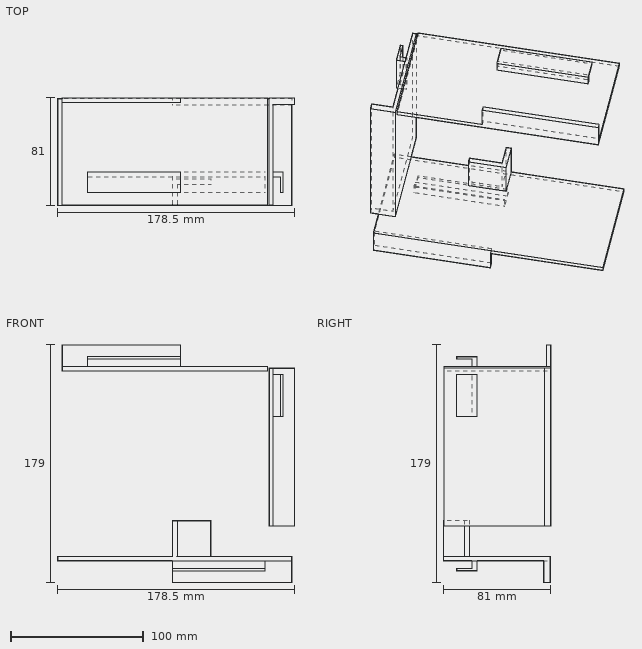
import cadquery as cq

height = 179.0
depth = 81.0
panel_depth = 80.5
panel_back_shift = depth - panel_depth
thickness = 3.4
flange_height = 16.3
top_flange_thickness = 3.4
thick_flange_thickness = 5.0

hook_height = 7.5
hook_web = 4.0
hook_lip = 2.0
hook_front = 10.0
hook_depth = 15.4
hook_back = hook_front + hook_depth

base_length = 176.3
base_bottom = flange_height
base_top = base_bottom + thickness
base_flange_start = 86.5
base_hook_length = 69.6

post_height = 27.0
post_length = 29.0
post_depth = 19.9
post_wall = 4.0

top_start = 3.4
top_length = 154.7
top_surface = height - flange_height
top_flange_length = 89.1
top_hook_length = 70.2
top_flange_end = top_start + top_flange_length

side_start = 159.3
side_end = 178.5
side_thickness = 2.9
side_bottom = 42.6
side_top = 161.5
side_outer = side_start + side_thickness
side_hook_bottom = 125.0
side_hook_top = 156.6


def block(x_range, y_range, z_range):
    """Box spanning the given (low, high) ranges."""
    (x0, x1), (y0, y1), (z0, z1) = x_range, y_range, z_range
    return cq.Workplane("XY").box(x1 - x0, y1 - y0, z1 - z0, centered=False).translate((x0, y0, z0))


def hook(plane, length):
    """L-section hook: local x runs along Y, local y points away from the panel."""
    outline = [
        (hook_back, 0),
        (hook_back, hook_height),
        (hook_front, hook_height),
        (hook_front, hook_height - hook_lip),
        (hook_back - hook_web, hook_height - hook_lip),
        (hook_back - hook_web, 0),
    ]
    return cq.Workplane(plane).polyline(outline).close().extrude(length)


def corner_post():
    """Upright angle: a front-to-back wall and a rear wall running along X."""
    x0 = base_flange_start
    z_range = (base_top, base_top + post_height)
    side_wall = block((x0, x0 + post_wall), (0, post_depth), z_range)
    rear_wall = block((x0, x0 + post_length), (post_depth - post_wall, post_depth), z_range)
    return side_wall.union(rear_wall)


def make_base_panel():
    panel = block((0, base_length), (0, panel_depth), (base_bottom, base_top))
    flange = block(
        (base_flange_start, base_length),
        (panel_depth - thick_flange_thickness, panel_depth),
        (0, base_bottom),
    )
    below = cq.Plane(
        origin=(base_flange_start + base_hook_length, 0, base_bottom), xDir=(0, 1, 0), normal=(-1, 0, 0)
    )
    return panel.union(flange).union(hook(below, base_hook_length)).union(corner_post())


def make_top_panel():
    panel = block(
        (top_start, top_start + top_length),
        (panel_back_shift, depth),
        (top_surface - thickness, top_surface),
    )
    flange = block((top_start, top_flange_end), (depth - top_flange_thickness, depth), (top_surface, height))
    above = cq.Plane(
        origin=(top_flange_end - top_hook_length, 0, top_surface), xDir=(0, 1, 0), normal=(1, 0, 0)
    )
    return panel.union(flange).union(hook(above, top_hook_length))


def make_side_panel():
    z_range = (side_bottom, side_top)
    panel = block((side_start, side_outer), (panel_back_shift, depth), z_range)
    flange = block((side_outer, side_end), (depth - thick_flange_thickness, depth), z_range)
    outside = cq.Plane(origin=(side_outer, 0, side_hook_top), xDir=(0, 1, 0), normal=(0, 0, -1))
    return panel.union(flange).union(hook(outside, side_hook_top - side_hook_bottom))


base_panel = make_base_panel()
top_panel = make_top_panel()
side_panel = make_side_panel()

result = cq.Compound.makeCompound([base_panel.val(), top_panel.val(), side_panel.val()])